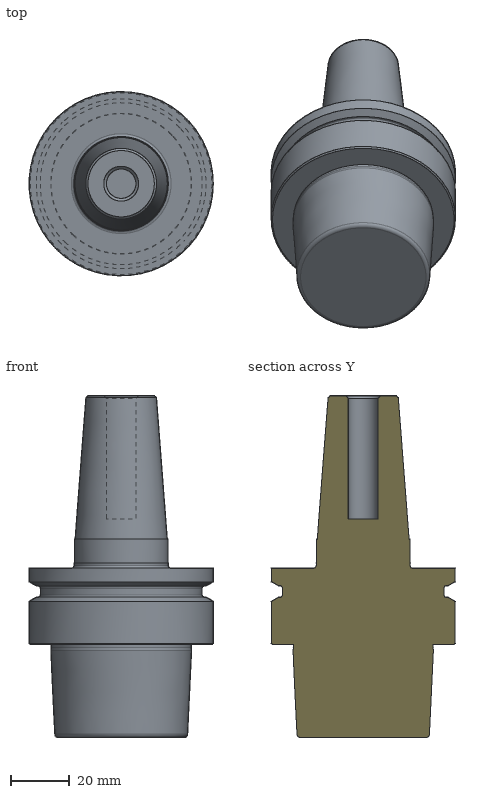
import cadquery as cq

total_height = 116.9
flange_bottom = 31.8
flange_top = 58.0

shank_bottom_radius = 22.7
shank_top_radius = 24.1
shank_taper_top = 29.8
shank_edge_round = 1.3
relief_radius = 24.0
relief_bottom = 30.9

flange_radius = 31.5
flange_bottom_chamfer = 0.5
groove_radius = 27.7
groove_lower_edge = 46.6
groove_upper_edge = 53.3
groove_flank_height = 1.4
groove_flank_depth = 2.5
groove_corner_fillet = 0.8

neck_radius = 16.0
collar_radius = 16.1
collar_height = 1.8
collar_fillet = 0.9
neck_top = 67.9
cone_base_radius = 15.8
nose_radius = 12.0
nose_chamfer = 0.7

bore_radius = 5.0
bore_depth = 42.1
bore_chamfer = 0.9


def revolve_profile(profile):
    return profile.close().revolve(360, (0, 0, 0), (0, 1, 0))


def make_shank():
    """Slightly tapered shank with a rounded lower rim and a relief under the flange."""
    profile = (
        cq.Workplane("XZ")
        .lineTo(shank_bottom_radius, 0)
        .lineTo(shank_top_radius, shank_taper_top)
        .lineTo(relief_radius, relief_bottom)
        .lineTo(relief_radius, flange_bottom)
        .lineTo(0, flange_bottom)
    )
    return revolve_profile(profile).faces("<Z").edges().fillet(shank_edge_round)


def make_flange():
    """Round flange with the gripper groove around its rim."""
    flank_radius = flange_radius - groove_flank_depth
    corner_center_radius = groove_radius + groove_corner_fillet
    lower_flank_top = groove_lower_edge + groove_flank_height
    upper_flank_bottom = groove_upper_edge - groove_flank_height
    profile = (
        cq.Workplane("XZ")
        .moveTo(0, flange_bottom)
        .lineTo(flange_radius - flange_bottom_chamfer, flange_bottom)
        .lineTo(flange_radius, flange_bottom + flange_bottom_chamfer)
        .lineTo(flange_radius, groove_lower_edge)
        .lineTo(flank_radius, lower_flank_top)
        .lineTo(corner_center_radius, lower_flank_top)
        .tangentArcPoint((groove_radius, lower_flank_top + groove_corner_fillet), relative=False)
        .lineTo(groove_radius, upper_flank_bottom - groove_corner_fillet)
        .tangentArcPoint((corner_center_radius, upper_flank_bottom), relative=False)
        .lineTo(flank_radius, upper_flank_bottom)
        .lineTo(flange_radius, groove_upper_edge)
        .lineTo(flange_radius, flange_top)
        .lineTo(0, flange_top)
    )
    return revolve_profile(profile)


def make_nose():
    """Collar with a concave root fillet, neck and chamfered cone."""
    collar_top = flange_top + collar_height
    root_center_radius = collar_radius + collar_fillet
    root_center_height = flange_top + collar_fillet
    arc_offset = collar_fillet / 2**0.5
    profile = (
        cq.Workplane("XZ")
        .moveTo(0, flange_top)
        .lineTo(root_center_radius, flange_top)
        .threePointArc(
            (root_center_radius - arc_offset, root_center_height - arc_offset),
            (collar_radius, root_center_height),
        )
        .lineTo(collar_radius, collar_top)
        .lineTo(neck_radius, collar_top)
        .lineTo(neck_radius, neck_top)
        .lineTo(cone_base_radius, neck_top)
        .lineTo(nose_radius, total_height)
        .lineTo(0, total_height)
    )
    return revolve_profile(profile).faces(">Z").edges().chamfer(nose_chamfer)


def make_bore():
    """Blind bore with a conical lead-in at the nose."""
    bore_floor = total_height - bore_depth
    profile = (
        cq.Workplane("XZ")
        .moveTo(0, bore_floor)
        .lineTo(bore_radius, bore_floor)
        .lineTo(bore_radius, total_height - bore_chamfer)
        .lineTo(bore_radius + bore_chamfer, total_height)
        .lineTo(0, total_height)
    )
    return revolve_profile(profile)


result = make_shank().union(make_flange()).union(make_nose()).cut(make_bore())